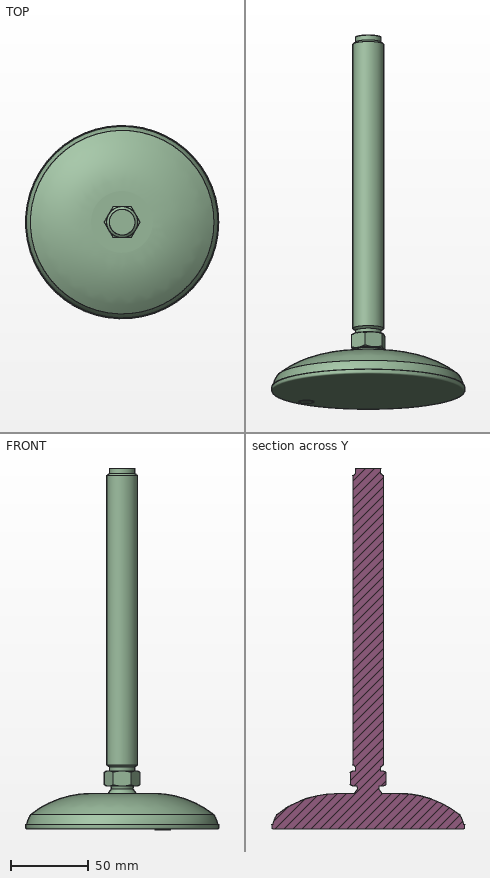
import cadquery as cq
import math

pad_height = 0.5
rim_top = 3.5
skirt_top = 9.8
base_top = 23.5
neck_waist = 26.5
hex_bottom = 28.3
hex_top = 38.0
overall_height = 233.7

base_diameter = 125.0
rim_rounding = 1.0
skirt_bottom_diameter = 123.9
skirt_top_diameter = 118.7
skirt_bulge = 0.2
crown_diameter = 40.0

pad_diameter = 9.8
pad_orbit_radius = 52.5
pad_angle = -60.0

ball_neck_diameter = 18.2
waist_diameter = 14.0
neck_top_diameter = 14.7
across_flats = 20.0
hex_sides = 6
rod_diameter = 20.0
relief_diameter = 16.5
relief_length = 2.5
tip_diameter = relief_diameter
tip_length = 3.3
rod_chamfer_height = 1.5
hex_chamfer_angle = 30.0


def make_base():
    """Revolved plate: rounded rim, bulging skirt, dome and flat crown."""
    rim_radius = base_diameter / 2
    skirt_bottom = (skirt_bottom_diameter / 2, rim_top)
    skirt_end = (skirt_top_diameter / 2, skirt_top)
    skirt_middle = (
        (skirt_bottom[0] + skirt_end[0]) / 2 + skirt_bulge,
        (skirt_bottom[1] + skirt_end[1]) / 2 + skirt_bulge,
    )

    dome_run = (skirt_top_diameter - crown_diameter) / 2
    dome_drop = base_top - skirt_top
    dome_radius = (dome_run**2 + dome_drop**2) / (2 * dome_drop)
    half_sweep = math.asin(dome_run / dome_radius) / 2
    dome_middle = (
        crown_diameter / 2 + dome_radius * math.sin(half_sweep),
        base_top - dome_radius * (1 - math.cos(half_sweep)),
    )

    profile = (
        cq.Workplane("XZ")
        .moveTo(0, pad_height)
        .lineTo(rim_radius - rim_rounding, pad_height)
        .tangentArcPoint((rim_radius, pad_height + rim_rounding), relative=False)
        .lineTo(rim_radius, rim_top)
        .lineTo(*skirt_bottom)
        .threePointArc(skirt_middle, skirt_end)
        .threePointArc(dome_middle, (crown_diameter / 2, base_top))
        .lineTo(0, base_top)
        .close()
    )
    return profile.revolve(360, (0, 0, 0), (0, 1, 0))


def make_pad():
    """Small round pad standing proud of the underside, sunk into the base."""
    angle = math.radians(pad_angle)
    return (
        cq.Workplane("XY")
        .center(pad_orbit_radius * math.cos(angle), pad_orbit_radius * math.sin(angle))
        .circle(pad_diameter / 2)
        .extrude(rim_top)
    )


def make_spindle():
    """Revolved neck, thread relief, rod and stepped tip."""
    rod_bottom = hex_top + relief_length
    tip_bottom = overall_height - tip_length
    profile = (
        cq.Workplane("XZ")
        .moveTo(0, skirt_top)
        .lineTo(ball_neck_diameter / 2, skirt_top)
        .lineTo(ball_neck_diameter / 2, base_top)
        .lineTo(waist_diameter / 2, neck_waist)
        .lineTo(neck_top_diameter / 2, hex_bottom)
        .lineTo(relief_diameter / 2, hex_top)
        .lineTo(relief_diameter / 2, rod_bottom)
        .lineTo(rod_diameter / 2, rod_bottom + rod_chamfer_height)
        .lineTo(rod_diameter / 2, tip_bottom - rod_chamfer_height)
        .lineTo(tip_diameter / 2, tip_bottom)
        .lineTo(tip_diameter / 2, overall_height)
        .lineTo(0, overall_height)
        .close()
    )
    return profile.revolve(360, (0, 0, 0), (0, 1, 0))


def make_hexagon():
    """Wrench hexagon with corners on the X axis, chamfered at both ends."""
    across_corners = across_flats / math.cos(math.pi / hex_sides)
    flat_radius = across_flats / 2
    corner_radius = across_corners / 2
    chamfer_height = (corner_radius - flat_radius) * math.tan(math.radians(hex_chamfer_angle))
    prism = (
        cq.Workplane("XY")
        .workplane(offset=hex_bottom)
        .polygon(hex_sides, across_corners)
        .extrude(hex_top - hex_bottom)
    )
    envelope = (
        cq.Workplane("XZ")
        .moveTo(0, hex_bottom)
        .lineTo(flat_radius, hex_bottom)
        .lineTo(corner_radius, hex_bottom + chamfer_height)
        .lineTo(corner_radius, hex_top - chamfer_height)
        .lineTo(flat_radius, hex_top)
        .lineTo(0, hex_top)
        .close()
        .revolve(360, (0, 0, 0), (0, 1, 0))
    )
    return prism.intersect(envelope)


result = make_base().union(make_pad()).union(make_spindle()).union(make_hexagon())